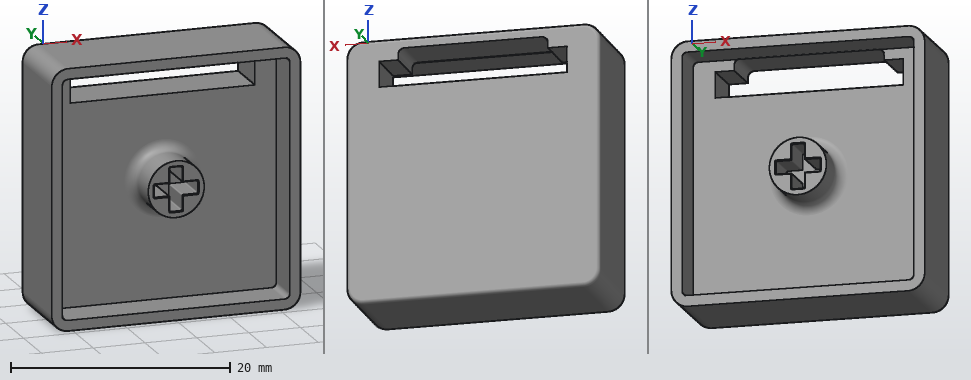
import cadquery as cq

width = 24.0
depth = 8.55
height = 25.0
corner_radius = 1.58
back_edge_radius = 0.35

wall = 1.02
cavity_depth = 3.8
cavity_corner_radius = 0.5

stem_radius = 2.7
stem_root_radius = 1.0

cross_span = 4.2
cross_arm_width = 1.2
cross_corner_radius = 0.12
cross_chamfer = 0.1

slot_width = 17.8
slot_top = 10.45
slot_bottom = 8.0
notch_width = 14.2
notch_top = 11.55
notch_corner_radius = 0.62


def plate(x_size, z_size, y_start, y_end, z_center=0):
    """Block that is centred on x = 0 and spans y_start to y_end."""
    return cq.Workplane("XY").box(x_size, y_end - y_start, z_size).translate(
        (0, (y_start + y_end) / 2, z_center)
    )


def make_body():
    block = plate(width, height, 0, depth).edges("|Y").fillet(corner_radius)
    block = block.faces(">Y").edges().fillet(back_edge_radius)
    cavity = plate(width - 2 * wall, height - 2 * wall, 0, cavity_depth)
    return block.cut(cavity.edges("|Y").fillet(cavity_corner_radius))


def make_cross():
    upright = plate(cross_arm_width, cross_span, 0, cavity_depth)
    crossbar = plate(cross_span, cross_arm_width, 0, cavity_depth)
    return upright.union(crossbar).edges("|Y").fillet(cross_corner_radius)


def make_stem():
    foot_radius = stem_radius + stem_root_radius
    arc_inset = stem_root_radius * (1 - 0.5**0.5)
    post = (
        cq.Workplane("XY")
        .lineTo(stem_radius, 0)
        .lineTo(stem_radius, cavity_depth - stem_root_radius)
        .threePointArc((stem_radius + arc_inset, cavity_depth - arc_inset), (foot_radius, cavity_depth))
        .lineTo(0, cavity_depth)
        .close()
        .revolve(360, (0, 0, 0), (0, 1, 0))
    )
    return post.cut(make_cross()).faces("<Y").edges("%LINE").chamfer(cross_chamfer)


def make_window():
    slot_height = slot_top - slot_bottom
    notch_height = notch_top - slot_bottom
    slot = plate(slot_width, slot_height, cavity_depth, depth, slot_bottom + slot_height / 2)
    notch = plate(notch_width, notch_height, cavity_depth, depth, slot_bottom + notch_height / 2)
    return slot.union(notch.edges("|Y and >Z").fillet(notch_corner_radius))


result = make_body().union(make_stem()).cut(make_window())